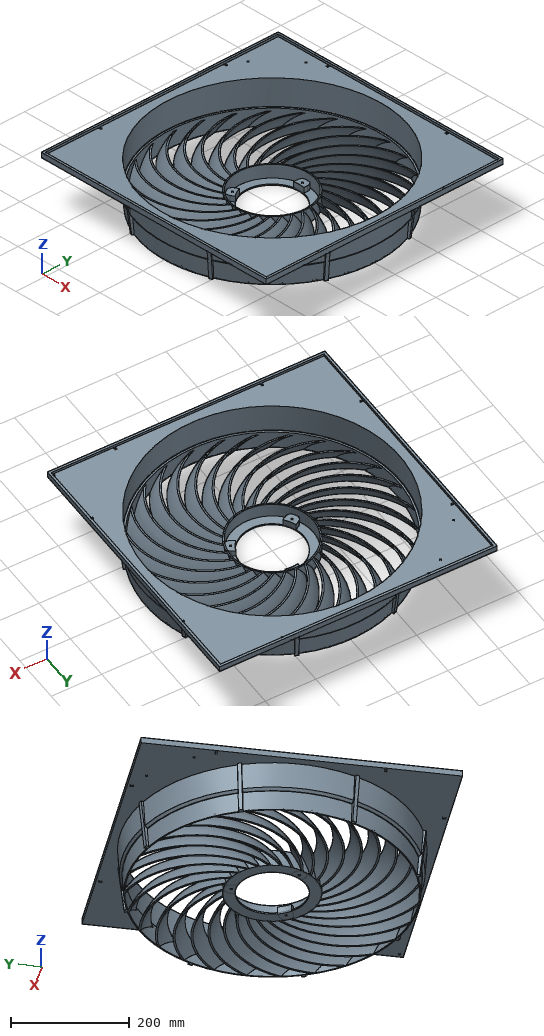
import cadquery as cq
import math

side = 550.0
height = 99.0
flange_depth = 11.0
rim_width = 5.0
rim_height = 5.0
plate_top = height - rim_height
flange_bottom = height - flange_depth
plate_thickness = plate_top - flange_bottom

barrel_top_radius = 260.5
upper_end_radius = 257.5
upper_end_z = 40.5
lower_start_radius = 253.0
lower_start_z = 36.5
barrel_bottom_radius = 250.0
bore_radius = 252.0
lower_bore_radius = 248.0

rib_count = 8
rib_width = 7.0
rib_reach = 4.5
rib_root = 5.5
rib_inner_radius = barrel_bottom_radius - rib_root / 10

hub_radius = 83.5
hub_wall = 3.0
hub_height = 30.0
hub_hole_radius = 125.0 / 2
hub_floor = 3.0
hub_wall_middle = hub_radius - hub_wall / 2

boss_count = 3
boss_first_angle = 90.0
boss_radius = 12.5
boss_circle_radius = 70.1
boss_top = 14.5
screw_hole_radius = 3.5 / 2

blade_count = 27
blade_axis_radius = 130.0
blade_axis_angle = -88.3
blade_top_radius = 142.0
blade_thickness = 3.5
blade_mid_offset = 10.2
blade_bottom_offset = 17.0
blade_height = 30.0
blade_tip_radius = 249.0

slot_width = 3.5
slot_length = 5.5
slot_spacing = 290.5
pin_hole_radius = 3.2 / 2
pin_hole_near = 179.5
pin_hole_far = 248.0
corner_hole_offset = 267.0


def turn(shape, angle):
    """The shape turned about the Z axis."""
    return shape.rotate((0, 0, 0), (0, 0, 1), angle)


def disc(radius, bottom, top):
    """An upright cylinder on the Z axis."""
    return cq.Workplane("XY").workplane(offset=bottom).circle(radius).extrude(top - bottom)


def ring(outer_radius, inner_radius, bottom, top):
    """An upright tube on the Z axis."""
    return (
        cq.Workplane("XY")
        .workplane(offset=bottom)
        .circle(outer_radius)
        .circle(inner_radius)
        .extrude(top - bottom)
    )


def make_flange():
    inner_side = side - 2 * rim_width
    flange = cq.Workplane("XY").workplane(offset=flange_bottom).rect(side, side).extrude(flange_depth)
    recess = cq.Workplane("XY").workplane(offset=plate_top).rect(inner_side, inner_side).extrude(rim_height)
    return flange.cut(recess)


def make_barrel():
    outline = [
        (0, 0),
        (barrel_bottom_radius, 0),
        (lower_start_radius, lower_start_z),
        (upper_end_radius, upper_end_z),
        (barrel_top_radius, flange_bottom),
        (0, flange_bottom),
    ]
    return cq.Workplane("XZ").polyline(outline).close().revolve(360, (0, 0), (0, 1))


def make_rib():
    """A rib that follows the slope of the barrel from the flange to its foot."""
    outline = [
        (rib_inner_radius, 0),
        (barrel_bottom_radius + rib_reach, 0),
        (barrel_top_radius + rib_reach, flange_bottom),
        (rib_inner_radius, flange_bottom),
    ]
    return cq.Workplane("XZ").polyline(outline).close().extrude(rib_width / 2, both=True)


def make_housing():
    """Flange, barrel and ribs, bored through."""
    housing = make_barrel()
    rib = make_rib()
    for i in range(rib_count):
        housing = housing.union(turn(rib, (i + 0.5) * 360 / rib_count))
    housing = housing.union(make_flange())
    housing = housing.cut(disc(bore_radius, lower_start_z, height))
    return housing.cut(disc(lower_bore_radius, 0, height))


def make_boss():
    """A screw boss with a round outer end and straight flanks running in to the hub hole."""
    boss = (
        cq.Workplane("XY")
        .moveTo(0, -boss_radius)
        .lineTo(boss_circle_radius, -boss_radius)
        .threePointArc((boss_circle_radius + boss_radius, 0), (boss_circle_radius, boss_radius))
        .lineTo(0, boss_radius)
        .close()
        .extrude(boss_top)
    )
    return boss.intersect(ring(hub_wall_middle, hub_hole_radius, 0, boss_top))


def make_hub():
    hub = ring(hub_radius, hub_radius - hub_wall, 0, hub_height)
    hub = hub.union(ring(hub_wall_middle, hub_hole_radius, 0, hub_floor))
    boss = make_boss()
    hole = cq.Workplane("XY").center(boss_circle_radius, 0).circle(screw_hole_radius).extrude(boss_top)
    for i in range(boss_count):
        angle = boss_first_angle + i * 360 / boss_count
        hub = hub.union(turn(boss, angle), clean=False)
        hub = hub.cut(turn(hole, angle), clean=False)
    return hub


def make_blade():
    """A thin bowed strip, turned half a circle about its axis and trimmed between hub and barrel."""
    inner = blade_top_radius
    outer = blade_top_radius + blade_thickness
    middle = blade_height / 2
    strip = (
        cq.Workplane("XZ")
        .moveTo(outer, blade_height)
        .threePointArc((outer + blade_mid_offset, middle), (outer + blade_bottom_offset, 0))
        .lineTo(inner + blade_bottom_offset, 0)
        .threePointArc((inner + blade_mid_offset, middle), (inner, blade_height))
        .close()
        .revolve(180, (0, 0), (0, 1))
    )
    if strip.val().Center().y < 0:
        strip = strip.mirror("XZ")
    strip = strip.translate((blade_axis_radius, 0, 0))
    trimmed = strip.intersect(ring(blade_tip_radius, hub_wall_middle, 0, blade_height))
    return turn(trimmed, blade_axis_angle)


def cut_plate_holes(body):
    """Two slots against each side of the rim, and three small round holes."""
    slot_middle = side / 2 - rim_width - slot_length / 2
    slots = (
        cq.Workplane("XY")
        .workplane(offset=flange_bottom)
        .pushPoints([(-slot_spacing / 2, slot_middle), (slot_spacing / 2, slot_middle)])
        .rect(slot_width, slot_length)
        .extrude(plate_thickness)
    )
    for quarter in range(4):
        body = body.cut(turn(slots, quarter * 90), clean=False)
    hole_places = [
        (-pin_hole_near, pin_hole_far),
        (-pin_hole_far, pin_hole_near),
        (corner_hole_offset, -corner_hole_offset),
    ]
    holes = (
        cq.Workplane("XY")
        .workplane(offset=flange_bottom)
        .pushPoints(hole_places)
        .circle(pin_hole_radius)
        .extrude(plate_thickness)
    )
    return body.cut(holes, clean=False)


frame = make_housing().union(make_hub(), clean=False)
first_blade = make_blade()
blades = [turn(first_blade, i * 360 / blade_count).val() for i in range(blade_count)]
body = cq.Workplane(frame.val().fuse(*blades))
result = cq.Workplane(cut_plate_holes(body).solids().val())